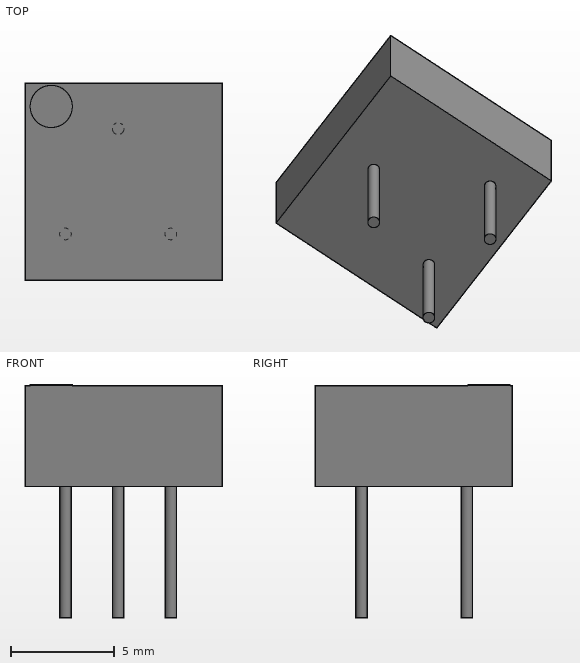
import cadquery as cq

body_side = 9.53
total_height = 11.25

pin_length = 6.33
dot_thickness = 0.05
body_height = total_height - pin_length - dot_thickness
body_top = pin_length + body_height

pin_diameter = 0.56
pin_pitch = 2.54
pin_shift_x = -0.27
pin_shift_y = 0.02
pin_centers = [
    (pin_shift_x - pin_pitch, pin_shift_y - pin_pitch),
    (pin_shift_x, pin_shift_y + pin_pitch),
    (pin_shift_x + pin_pitch, pin_shift_y - pin_pitch),
]

dot_diameter = 2.04
dot_x = -3.5
dot_y = 3.63


def upright_cylinder(diameter, height, x, y, base_z):
    """Vertical cylinder standing on the height base_z."""
    return cq.Workplane(origin=(x, y, base_z)).circle(diameter / 2).extrude(height)


def make_housing():
    """Plain square block resting on the pin tops."""
    return cq.Workplane(origin=(0, 0, pin_length)).rect(body_side, body_side).extrude(body_height)


def make_pin(x, y):
    """Straight round pin that ends at the underside of the housing."""
    return upright_cylinder(pin_diameter, pin_length, x, y, 0)


def make_marker_dot():
    """Thin disc lying on the top face of the housing."""
    return upright_cylinder(dot_diameter, dot_thickness, dot_x, dot_y, body_top)


housing = make_housing()
marker_dot = make_marker_dot()
pins = [make_pin(x, y).val() for x, y in pin_centers]

result = cq.Compound.makeCompound([housing.val(), marker_dot.val(), *pins])